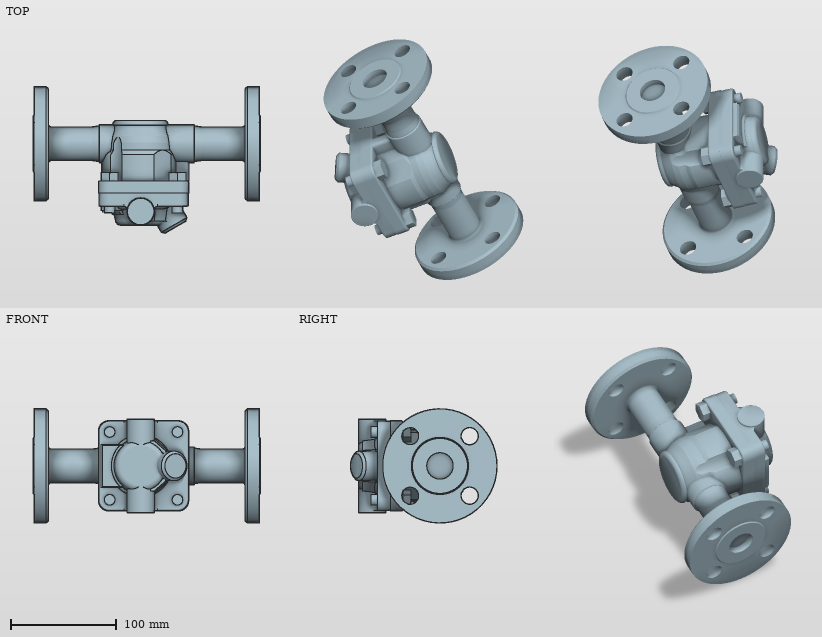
import cadquery as cq
import math

half_length = 107.5
flange_dia = 108.0
flange_back_x = 106.4
flange_front_x = 92.7
flange_chamfer = 2.2
raised_face_dia = 52.0
raised_face_root_dia = 54.0
flange_hole_dia = 16.0
flange_hole_circle_dia = 79.4
flange_hole_count = 4
flange_hole_start_angle = 45.0
bore_dia = 25.0
bore_depth = 7.0
pipe_dia = 32.0
pipe_root_fillet = 2.5
weld_outer_x = 51.5
weld_inner_x = 46.1
weld_dia = 33.6
hub_dia = 36.0
hub_end_x = 45.2
hub_chamfer = 0.8

body_axis_x = -6.0
body_top_y = 22.1
rim_radius = 26.2
rim_round = 4.0
rim_bottom_y = 17.8
neck_y = 17.0
neck_radius = 25.0
flare_y = 13.7
flare_radius = 27.0
waist_y = 7.0
waist_radius = 31.0
collar_radius = 32.6
collar_upper_y = 0.8
collar_lower_y = -6.0
barrel_radius = 34.2
barrel_top_y = -10.0
bulge_axis_x = -14.3
bulge_radius = 28.3
bulge_round = 6.0

joint_center_x = -3.0
joint_top_y = -35.0
joint_split_y = -46.7
cover_face_y = -59.1
body_plate_size = 85.4
cover_plate_size = 84.6
plate_corner_radius = 10.0
body_plate_fillet = 1.8
cover_plate_fillet = 1.5
bolt_spacing = 64.0
bolt_dia = 10.0
bolt_end_y = -65.3
bolt_head_flats = 16.0
bolt_head_height = 7.6

wrench_radius = 12.0
groove_end_y = 9.0
wrench_flat_start_x = 7.0
wrench_flat_end_x = 22.8

lug_end_x = 40.0
lug_top_y = -17.0
lug_half_width = 6.2
lug_fillet = 3.0

dome_axis_x = -5.7
dome_top_y = -77.0
dome_root_radius = 26.5
dome_root_fillet = 3.0
dome_shoulder_radius = 24.0
dome_round = 5.3
tube_dia = 26.0
tube_length = 88.8
tube_chamfer = 0.5
tube_root_fillet = 3.0
plate_left_x = -43.0
plate_base_y = -63.2
plate_face_y = -64.5
plate_half_height = 20.3
plate_step = 1.0
plate_fillet_foot_radius = 27.7
plate_fillet_radius = 2.5
plug_angle = 30.0
plug_dia = 28.0
plug_chamfer = 2.5
plug_face_x = 27.1
plug_face_y = -78.8
plug_length = 23.0
plug_root_fillet = 1.0
wedge_top_y = -73.0
wedge_taper = 8.0
wedge_start_x = 8.0
wedge_start_z = 25.5
wedge_end_x = 19.5
wedge_end_z = 15.5

bolt_points = [
    (joint_center_x + sx * bolt_spacing / 2, sz * bolt_spacing / 2)
    for sx in (-1, 1)
    for sz in (-1, 1)
]


def plane_at(y, x=0.0, z=0.0):
    """Workplane across the Y axis; extrusion runs toward -Y."""
    return cq.Workplane("XZ", origin=(x, y, z))


def make_pipe_end():
    """Flange, pipe and weld neck on the +X side, turned about X."""
    flange_radius = flange_dia / 2
    pipe_radius = pipe_dia / 2
    hub_radius = hub_dia / 2
    weld_radius = weld_dia / 2
    end = (
        cq.Workplane("XY")
        .moveTo(body_axis_x, 0)
        .lineTo(half_length, 0)
        .lineTo(half_length, raised_face_dia / 2)
        .lineTo(flange_back_x, raised_face_root_dia / 2)
        .lineTo(flange_back_x, flange_radius)
        .lineTo(flange_front_x + flange_chamfer, flange_radius)
        .lineTo(flange_front_x, flange_radius - flange_chamfer)
        .lineTo(flange_front_x, pipe_radius + pipe_root_fillet)
        .radiusArc((flange_front_x - pipe_root_fillet, pipe_radius), pipe_root_fillet)
        .lineTo(weld_outer_x, pipe_radius)
        .lineTo(weld_inner_x, weld_radius)
        .lineTo(hub_end_x, weld_radius)
        .lineTo(hub_end_x, hub_radius - hub_chamfer)
        .lineTo(hub_end_x - hub_chamfer, hub_radius)
        .lineTo(body_axis_x, hub_radius)
        .close()
        .revolve(360, (0, 0, 0), (1, 0, 0))
    )
    face = cq.Workplane("YZ", origin=(half_length, 0, 0))
    bore = face.circle(bore_dia / 2).extrude(-bore_depth)
    holes = (
        face.polarArray(flange_hole_circle_dia / 2, flange_hole_start_angle, 360, flange_hole_count)
        .circle(flange_hole_dia / 2)
        .extrude(flange_front_x - half_length)
    )
    return end.cut(bore).cut(holes)


def make_barrel():
    """Turned body from the rounded rim down to the bolted joint."""
    return (
        cq.Workplane("XY", origin=(body_axis_x, 0, 0))
        .moveTo(0, body_top_y)
        .lineTo(rim_radius - rim_round, body_top_y)
        .radiusArc((rim_radius, body_top_y - rim_round), rim_round)
        .lineTo(rim_radius, rim_bottom_y)
        .lineTo(neck_radius, neck_y)
        .lineTo(flare_radius, flare_y)
        .lineTo(waist_radius, waist_y)
        .lineTo(collar_radius, collar_upper_y)
        .lineTo(collar_radius, collar_lower_y)
        .lineTo(barrel_radius, barrel_top_y)
        .lineTo(barrel_radius, joint_top_y)
        .lineTo(0, joint_top_y)
        .close()
        .revolve(360, (0, 0, 0), (0, 1, 0))
    )


def make_bulge():
    """Round-shouldered cylinder that widens the barrel toward -X."""
    return (
        plane_at(collar_lower_y, bulge_axis_x)
        .circle(bulge_radius)
        .extrude(collar_lower_y - joint_top_y)
        .faces(">Y")
        .edges()
        .fillet(bulge_round)
    )


def barrel_height(x):
    """Z of the barrel surface above a given X."""
    return math.sqrt(barrel_radius**2 - (x - body_axis_x) ** 2)


def make_wrench_clearance():
    """Round grooves around the left bolts and flats beside the right bolts."""
    groove = (
        plane_at(groove_end_y, joint_center_x - bolt_spacing / 2, bolt_spacing / 2)
        .circle(wrench_radius)
        .extrude(groove_end_y - joint_top_y)
    )
    flat_start = (wrench_flat_start_x, barrel_height(wrench_flat_start_x))
    flat_end = (wrench_flat_end_x, barrel_height(wrench_flat_end_x))
    flat = (
        plane_at(collar_lower_y)
        .polyline([flat_start, flat_end, (flat_end[0], flat_start[1])])
        .close()
        .extrude(collar_lower_y - joint_top_y)
    )
    upper = groove.union(flat)
    return upper.union(upper.mirror("XY"))


def make_lug():
    lug_length = lug_end_x - joint_center_x
    return (
        plane_at(lug_top_y, joint_center_x + lug_length / 2)
        .rect(lug_length, 2 * lug_half_width)
        .extrude(lug_top_y - joint_top_y)
        .edges("|Y and >X")
        .fillet(lug_fillet)
    )


def make_joint_plate(size, top_y, bottom_y, rim, fillet):
    """Square plate with rounded corners and one rounded rim."""
    return (
        plane_at(top_y, joint_center_x)
        .rect(size, size)
        .extrude(top_y - bottom_y)
        .edges("|Y")
        .fillet(plate_corner_radius)
        .faces(rim)
        .edges()
        .fillet(fillet)
    )


def make_bolts():
    head_corners_dia = bolt_head_flats / math.cos(math.pi / 6)
    bolts = (
        plane_at(joint_top_y)
        .pushPoints(bolt_points)
        .circle(bolt_dia / 2)
        .extrude(joint_top_y - bolt_end_y)
    )
    for x, z in bolt_points:
        head = (
            plane_at(joint_top_y + bolt_head_height, x, z)
            .polygon(6, head_corners_dia)
            .extrude(bolt_head_height)
            .rotate((x, 0, z), (x, 1, z), 90)
        )
        bolts = bolts.union(head)
    return bolts


def make_dome():
    """Slightly tapered dome with a rounded edge, turned about Y."""
    return (
        cq.Workplane("XY", origin=(dome_axis_x, 0, 0))
        .moveTo(0, joint_split_y)
        .lineTo(dome_root_radius + dome_root_fillet, joint_split_y)
        .lineTo(dome_root_radius + dome_root_fillet, cover_face_y)
        .radiusArc((dome_root_radius, cover_face_y - dome_root_fillet), dome_root_fillet)
        .lineTo(dome_shoulder_radius, dome_top_y + dome_round)
        .radiusArc((dome_shoulder_radius - dome_round, dome_top_y), dome_round)
        .lineTo(0, dome_top_y)
        .close()
        .revolve(360, (0, 0, 0), (0, 1, 0))
    )


def make_plate_fillet():
    """Concave ring blending the dome into the raised name plate face."""
    ring = (
        cq.Workplane("XY", origin=(dome_axis_x, 0, 0))
        .moveTo(0, plate_base_y)
        .lineTo(plate_fillet_foot_radius, plate_base_y)
        .lineTo(plate_fillet_foot_radius, plate_face_y)
        .radiusArc(
            (plate_fillet_foot_radius - plate_fillet_radius, plate_face_y - plate_fillet_radius),
            plate_fillet_radius,
        )
        .lineTo(0, plate_face_y - plate_fillet_radius)
        .close()
        .revolve(360, (0, 0, 0), (0, 1, 0))
    )
    length = dome_axis_x - plate_left_x
    center_x = plate_left_x + length / 2
    plate_region = (
        plane_at(plate_base_y, center_x)
        .rect(length, 2 * (plate_half_height - plate_step))
        .extrude(plate_base_y - dome_top_y)
    )
    return ring.intersect(plate_region)


def make_cross_tube():
    """Tube along Z, tangent to the plane of the dome face."""
    return (
        cq.Workplane("XY", origin=(dome_axis_x, dome_top_y + tube_dia / 2, -tube_length / 2))
        .circle(tube_dia / 2)
        .extrude(tube_length)
        .faces("<Z or >Z")
        .chamfer(tube_chamfer)
    )


def make_tube_fillet():
    """Concave fillets where the cross tube rises out of the cover face."""
    radius = tube_dia / 2
    axis_y = dome_top_y + radius
    center_y = cover_face_y - tube_root_fillet
    reach = radius + tube_root_fillet
    foot_x = math.sqrt(reach**2 - (axis_y - center_y) ** 2)
    touch_x = foot_x * radius / reach
    touch_y = axis_y + (center_y - axis_y) * radius / reach
    return (
        cq.Workplane("XY", origin=(dome_axis_x, 0, -cover_plate_size / 2))
        .moveTo(-foot_x, cover_face_y + cover_plate_fillet)
        .lineTo(foot_x, cover_face_y + cover_plate_fillet)
        .lineTo(foot_x, cover_face_y)
        .radiusArc((touch_x, touch_y), -tube_root_fillet)
        .lineTo(-touch_x, touch_y)
        .radiusArc((-foot_x, cover_face_y), -tube_root_fillet)
        .close()
        .extrude(cover_plate_size)
    )


def make_plug():
    """Chamfered boss leaning toward +X."""
    tilt = math.radians(plug_angle)
    outward = (math.sin(tilt), -math.cos(tilt), 0)
    plane = cq.Plane(origin=(plug_face_x, plug_face_y, 0), xDir=(0, 0, 1), normal=outward)
    return (
        cq.Workplane(plane)
        .circle(plug_dia / 2)
        .extrude(-plug_length)
        .faces(cq.selectors.DirectionMinMaxSelector(cq.Vector(*outward)))
        .edges()
        .chamfer(plug_chamfer)
    )


def round_plug_root(part):
    """Round the edges where the plug boss runs into the dome, web and cover."""
    tilt = math.radians(plug_angle)
    outward = cq.Vector(math.sin(tilt), -math.cos(tilt), 0)
    face_center = cq.Vector(plug_face_x, plug_face_y, 0)
    touch = 0.01
    edge_fractions = (0.2, 0.5, 0.8)

    def on_plug_wall(point):
        offset = point - face_center
        depth = -offset.dot(outward)
        distance = (offset + outward * depth).Length
        return abs(distance - plug_dia / 2) < touch and depth > plug_chamfer + touch

    root = part.edges().filter(
        lambda edge: edge.geomType() != "LINE"
        and all(on_plug_wall(edge.positionAt(t)) for t in edge_fractions)
    )
    return root.fillet(plug_root_fillet)


def make_wedge():
    """Tapered web joining the dome to the plug boss."""
    return (
        plane_at(cover_face_y)
        .moveTo(dome_axis_x, wedge_start_z)
        .lineTo(wedge_start_x, wedge_start_z)
        .lineTo(wedge_end_x, wedge_end_z)
        .lineTo(wedge_end_x, -wedge_end_z)
        .lineTo(wedge_start_x, -wedge_start_z)
        .lineTo(dome_axis_x, -wedge_start_z)
        .close()
        .extrude(cover_face_y - wedge_top_y, taper=wedge_taper)
    )


def make_name_plate():
    """Rectangular pad with a slightly smaller raised face."""
    length = dome_axis_x - plate_left_x
    center_x = plate_left_x + length / 2
    height = 2 * plate_half_height
    pad = plane_at(cover_face_y, center_x).rect(length, height).extrude(cover_face_y - plate_base_y)
    face = (
        plane_at(plate_base_y, center_x)
        .rect(length - 2 * plate_step, height - 2 * plate_step)
        .extrude(plate_base_y - plate_face_y)
    )
    return pad.union(face)


pipe_end = make_pipe_end()
result = make_barrel().union(make_bulge()).cut(make_wrench_clearance())
result = result.union(make_lug())
result = result.union(pipe_end).union(pipe_end.mirror("YZ"))
result = result.union(
    make_joint_plate(body_plate_size, joint_top_y, joint_split_y, ">Y", body_plate_fillet)
)
result = result.union(
    make_joint_plate(cover_plate_size, joint_split_y, cover_face_y, "<Y", cover_plate_fillet)
)
result = result.union(make_dome()).union(make_wedge()).union(make_plug())
result = round_plug_root(result)
result = result.union(make_cross_tube()).union(make_tube_fillet())
result = result.union(make_name_plate()).union(make_plate_fillet()).union(make_bolts())